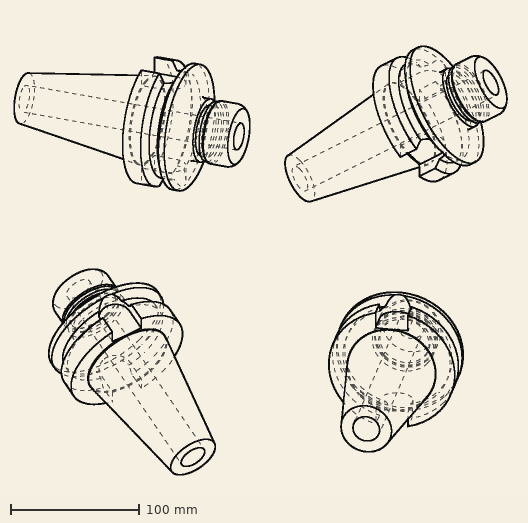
import cadquery as cq
import math

TOTAL_LENGTH = 181.8
GAUGE_X = 101.8
TAPER_END_X = 103.8
FLANGE_START_X = 104.7
GROOVE_START_X = 120.0
GROOVE_FLOOR_START_X = 124.0
GROOVE_FLOOR_END_X = 130.9
GROOVE_END_X = 135.0
FLANGE_END_X = 140.0
NECK_START_X = 147.5
NECK_GROOVE_START_X = 153.6
NECK_GROOVE_END_X = 158.3
STEP_END_X = 161.3
HEAD_START_X = 162.3
NOSE_START_X = 176.5
NOSE_MIDDLE_X = 179.8

FLANGE_RADIUS = 50.0
GAUGE_RADIUS = 34.9
TAPER_RATE = 7 / 24
SMALL_END_RADIUS = GAUGE_RADIUS - GAUGE_X * TAPER_RATE / 2
TAPER_END_RADIUS = SMALL_END_RADIUS + TAPER_END_X * TAPER_RATE / 2
GROOVE_RADIUS = 42.5
NECK_RADIUS = FLANGE_RADIUS / 2
NECK_GROOVE_RADIUS = 20.0
STEP_RADIUS = 24.0
NOSE_MIDDLE_RADIUS = 23.8
NOSE_END_RADIUS = 22.0
NOSE_EDGE_CHAMFER = 0.5
BORE_RADIUS = 10.5

SHOULDER_ANGLE = math.radians(15)
BLEND_RADIUS = FLANGE_RADIUS / 10

SLOT_WIDTH = 25.6
SLOT_FLOOR_HEIGHT = 35.3
SLOT_END_X = 135.6


def turned_body():
    """Solid of revolution about X, without bore or slots."""
    center_x = NECK_START_X
    center_r = NECK_RADIUS + BLEND_RADIUS

    def blend_point(angle):
        """Point on the blend arc; zero faces the flange, 90 degrees faces the axis."""
        return (center_x - BLEND_RADIUS * math.cos(angle), center_r - BLEND_RADIUS * math.sin(angle))

    arc_middle = (SHOULDER_ANGLE + math.pi / 2) / 2
    cone_end_x, cone_end_r = blend_point(SHOULDER_ANGLE)
    cone_base_r = cone_end_r + (cone_end_x - FLANGE_END_X) / math.tan(SHOULDER_ANGLE)
    nose_arc_end = (TOTAL_LENGTH - NOSE_EDGE_CHAMFER, NOSE_END_RADIUS + NOSE_EDGE_CHAMFER)
    profile = (
        cq.Workplane("XY")
        .moveTo(0, 0)
        .lineTo(0, SMALL_END_RADIUS)
        .lineTo(GAUGE_X, GAUGE_RADIUS)
        .lineTo(TAPER_END_X, TAPER_END_RADIUS)
        .lineTo(TAPER_END_X, GAUGE_RADIUS)
        .lineTo(FLANGE_START_X, GAUGE_RADIUS)
        .lineTo(FLANGE_START_X, FLANGE_RADIUS)
        .lineTo(GROOVE_START_X, FLANGE_RADIUS)
        .lineTo(GROOVE_FLOOR_START_X, GROOVE_RADIUS)
        .lineTo(GROOVE_FLOOR_END_X, GROOVE_RADIUS)
        .lineTo(GROOVE_END_X, FLANGE_RADIUS)
        .lineTo(FLANGE_END_X, FLANGE_RADIUS)
        .lineTo(FLANGE_END_X, cone_base_r)
        .lineTo(cone_end_x, cone_end_r)
        .threePointArc(blend_point(arc_middle), (NECK_START_X, NECK_RADIUS))
        .lineTo(NECK_GROOVE_START_X, NECK_RADIUS)
        .lineTo(NECK_GROOVE_START_X, NECK_GROOVE_RADIUS)
        .lineTo(NECK_GROOVE_END_X, NECK_GROOVE_RADIUS)
        .lineTo(NECK_GROOVE_END_X, STEP_RADIUS)
        .lineTo(STEP_END_X, STEP_RADIUS)
        .lineTo(HEAD_START_X, NECK_RADIUS)
        .lineTo(NOSE_START_X, NECK_RADIUS)
        .threePointArc((NOSE_MIDDLE_X, NOSE_MIDDLE_RADIUS), nose_arc_end)
        .lineTo(TOTAL_LENGTH, NOSE_END_RADIUS)
        .lineTo(TOTAL_LENGTH, 0)
        .close()
    )
    return profile.revolve(360, (0, 0, 0), (1, 0, 0))


def drive_slot():
    """Round-ended cutter for the slot on the +Z side."""
    half_width = SLOT_WIDTH / 2
    arc_start_x = SLOT_END_X - half_width
    return (
        cq.Workplane("XY", origin=(0, 0, SLOT_FLOOR_HEIGHT))
        .moveTo(FLANGE_START_X, -half_width)
        .lineTo(arc_start_x, -half_width)
        .threePointArc((SLOT_END_X, 0), (arc_start_x, half_width))
        .lineTo(FLANGE_START_X, half_width)
        .close()
        .extrude(FLANGE_RADIUS)
    )


def bore():
    return cq.Workplane("YZ").circle(BORE_RADIUS).extrude(TOTAL_LENGTH)


result = turned_body().cut(bore())
for slot_angle in (0, 180):
    result = result.cut(drive_slot().rotate((0, 0, 0), (1, 0, 0), slot_angle))